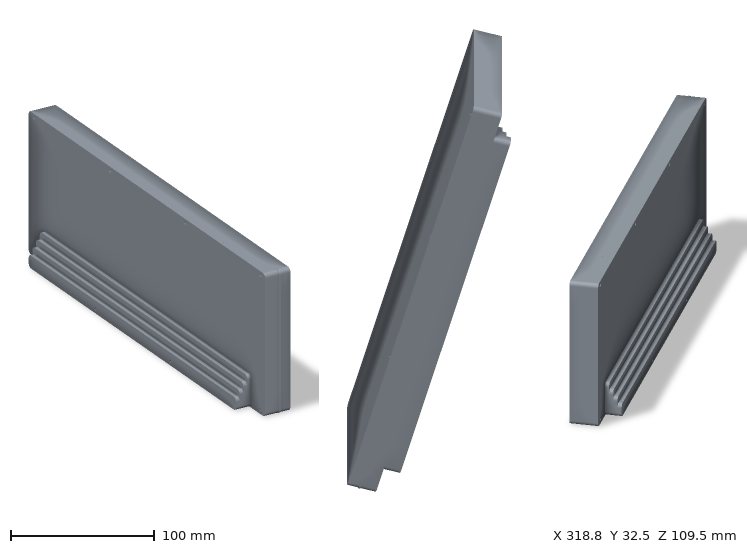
import cadquery as cq

total_width = 318.8
total_depth = 32.5
case_height = 109.5
corner_radius = 3.0

plate_thickness = 3.0
sheet_thickness = 1.5
step_count = 4
thin_plate_count = 3
thick_plate_count = 2
thick_plate_thickness = (
    total_depth - sheet_thickness - (thin_plate_count + step_count) * plate_thickness
) / thick_plate_count

sheet_overhang = 0.5
case_width = total_width - sheet_overhang

step_width = 279.0
step_left = (total_width - step_width) / 2
tallest_step_height = 25.2
step_drop = 5.0

hole_diameter = 2.2
hole_edge_distance = 3.2
hole_x_positions = [7.0, 109.7, 210.7, 311.8]
hole_z_positions = [hole_edge_distance, case_height - hole_edge_distance]

back_plate_y = 0
rear_thick_plate_y = back_plate_y - plate_thickness
sheet_y = rear_thick_plate_y - thick_plate_thickness
middle_plate_y = sheet_y - sheet_thickness
front_thick_plate_y = middle_plate_y - plate_thickness
front_plate_y = front_thick_plate_y - thick_plate_thickness
steps_y = front_plate_y - plate_thickness

screw_drills = (
    cq.Workplane("XZ")
    .pushPoints([(x, z) for x in hole_x_positions for z in hole_z_positions])
    .circle(hole_diameter / 2)
    .extrude(total_depth)
)


def drilled_plate(left, width, height, back_y, thickness):
    """Upright plate with rounded corners and screw holes, its back face at back_y."""
    return (
        cq.Workplane("XY")
        .box(width, thickness, height, centered=False)
        .translate((left, back_y - thickness, 0))
        .edges("|Y")
        .fillet(corner_radius)
        .cut(screw_drills)
        .solids()
    )


def case_plate(back_y, thickness, width=case_width):
    """Full-height plate of the case, starting at X = 0."""
    return drilled_plate(0, width, case_height, back_y, thickness)


def step(index):
    """One front strip; each strip is shorter than the one behind it."""
    height = tallest_step_height - index * step_drop
    back_y = steps_y - index * plate_thickness
    return drilled_plate(step_left, step_width, height, back_y, plate_thickness)


back_plate = case_plate(back_plate_y, plate_thickness)
rear_thick_plate = case_plate(rear_thick_plate_y, thick_plate_thickness)
sheet = case_plate(sheet_y, sheet_thickness, total_width)
middle_plate = case_plate(middle_plate_y, plate_thickness)
front_thick_plate = case_plate(front_thick_plate_y, thick_plate_thickness)
front_plate = case_plate(front_plate_y, plate_thickness)
steps = [step(index) for index in range(step_count)]

result = cq.Compound.makeCompound([
    back_plate.val(),
    rear_thick_plate.val(),
    sheet.val(),
    middle_plate.val(),
    front_thick_plate.val(),
    front_plate.val(),
    *[strip.val() for strip in steps],
])